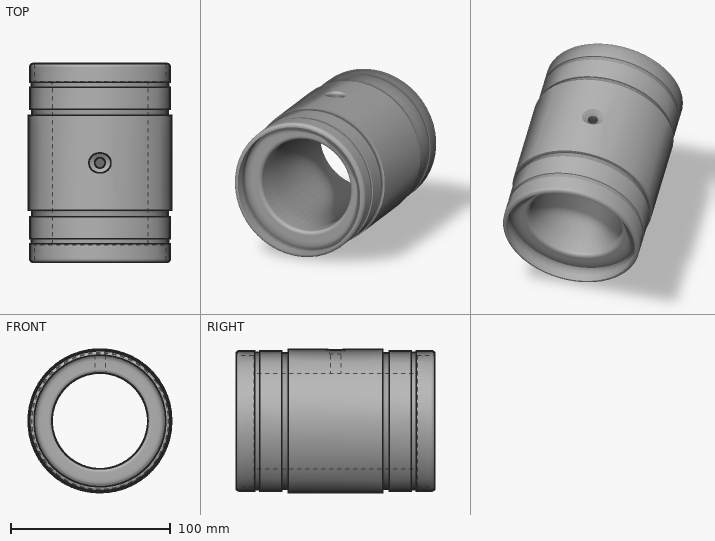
import cadquery as cq
import math

length = 124.68
body_diameter = 90.0
body_length = 59.5
shoulder_diameter = 88.0
bore_diameter = 60.0

relief_diameter = 85.4
relief_width = 3.9

ring_groove_diameter = 86.2
ring_groove_width = 3.2
ring_groove_inner_y = 47.5

recess_diameter = 82.6
recess_depth = 11.0
rim_radius = 2.34

bore_round_radius = 2.4

oil_hole_diameter = 6.5
mouth_depth = 3.0
mouth_slope_along = 1.0
mouth_slope_around = 1.48

half_length = length / 2
body_half_length = body_length / 2
body_radius = body_diameter / 2
bore_radius = bore_diameter / 2
recess_floor_y = half_length - recess_depth


def cylinder(diameter, start_y, end_y):
    """Solid cylinder about the Y axis between two Y positions."""
    plane = cq.Plane(origin=(0, start_y, 0), xDir=(1, 0, 0), normal=(0, 1, 0))
    return cq.Workplane(plane).circle(diameter / 2).extrude(end_y - start_y)


def make_body():
    """Central body with a rounded-rim shoulder on each side."""
    shoulders = cylinder(shoulder_diameter, -half_length, half_length)
    shoulders = shoulders.faces("<Y or >Y").edges().fillet(rim_radius)
    return shoulders.union(cylinder(body_diameter, -body_half_length, body_half_length))


def make_groove(floor_diameter, start_y, width):
    """Ring of material to remove for a groove on the +Y side."""
    end_y = start_y + width
    return cylinder(body_diameter, start_y, end_y).cut(cylinder(floor_diameter, start_y, end_y))


def make_bore_entry():
    """Flared cutter that rounds the +Y entry of the bore."""
    round_start_y = recess_floor_y - bore_round_radius
    arc_inset = bore_round_radius * (1 - math.sqrt(0.5))
    section = (
        cq.Workplane("XY")
        .moveTo(0, round_start_y)
        .lineTo(bore_radius, round_start_y)
        .threePointArc(
            (bore_radius + arc_inset, recess_floor_y - arc_inset),
            (bore_radius + bore_round_radius, recess_floor_y),
        )
        .lineTo(0, recess_floor_y)
        .close()
    )
    return section.revolve(360, (0, 0, 0), (0, 1, 0))


def cut_both_ends(sleeve, cutter):
    """Remove a +Y cutter and its mirror image on the -Y side."""
    return sleeve.cut(cutter).cut(cutter.mirror("XZ"))


def cut_oil_hole(sleeve):
    """Drill the radial hole in the +Z wall and flare its mouth from round to oval."""
    hole_radius = oil_hole_diameter / 2
    drill = cq.Workplane("XY").circle(hole_radius).extrude(body_radius)
    flare_height = 2 * mouth_depth
    flare = (
        cq.Workplane("XY", origin=(0, 0, body_radius - mouth_depth))
        .circle(hole_radius)
        .workplane(offset=flare_height)
        .ellipse(
            hole_radius + flare_height * mouth_slope_around,
            hole_radius + flare_height * mouth_slope_along,
        )
        .loft(ruled=True)
    )
    return sleeve.cut(drill).cut(flare)


sleeve = make_body()
sleeve = cut_both_ends(sleeve, make_groove(relief_diameter, body_half_length, relief_width))
sleeve = cut_both_ends(sleeve, make_groove(ring_groove_diameter, ring_groove_inner_y, ring_groove_width))
sleeve = cut_both_ends(sleeve, cylinder(recess_diameter, recess_floor_y, half_length))
sleeve = sleeve.cut(cylinder(bore_diameter, -half_length, half_length))
sleeve = cut_both_ends(sleeve, make_bore_entry())
result = cut_oil_hole(sleeve)